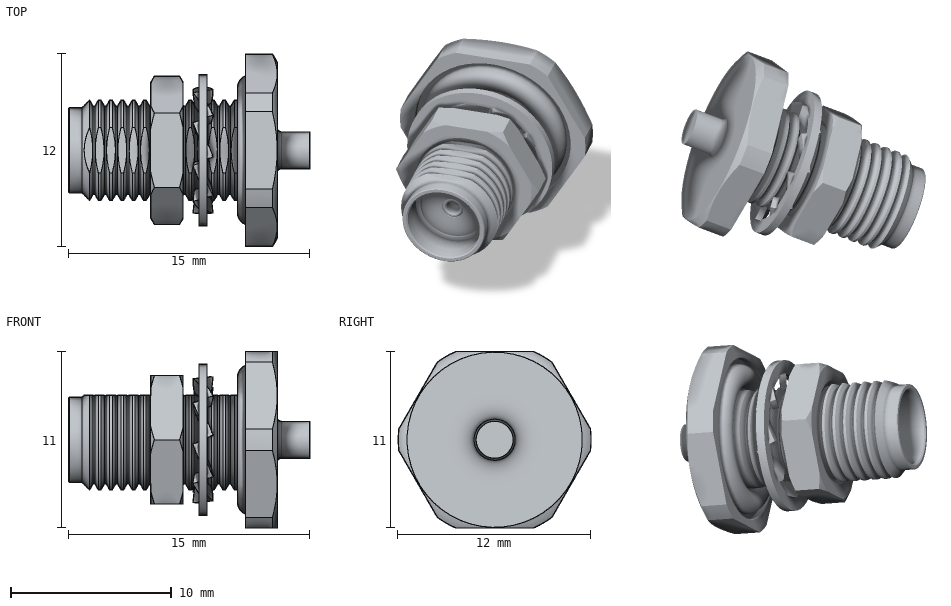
import cadquery as cq
import math


OVERALL_LENGTH = 15.0
OVERLAP = 1.0

SLEEVE_RADIUS = 2.66
SLEEVE_LENGTH = 0.85
SLEEVE_EDGE_BEVEL = 0.05
THREAD_CREST_RADIUS = 3.12
THREAD_ROOT_RADIUS = 2.74
THREAD_PITCH = 0.704
THREAD_CREST_WIDTH = 0.16
THREAD_HALF_ANGLE = 30.0
THREAD_GROOVES = 13
KEY_FLAT_HEIGHT = 2.78

BORE_RADIUS = 2.33
BORE_MOUTH_BEVEL = 0.08
BORE_DEPTH = 1.9
INSULATOR_RADIUS = 2.03
INSULATOR_RECESS = 0.15
CONTACT_RADIUS = 0.67
CONTACT_BEVEL = 0.08
CONTACT_HOLE_MOUTH_RADIUS = 0.5
CONTACT_HOLE_RADIUS = 0.41
CONTACT_HOLE_DEPTH = 1.0

NUT_START_X = 5.11
NUT_THICKNESS = 2.02
NUT_WIDTH = 8.0
NUT_CORNER_BEVEL = 0.23
NUT_MOUTH_RADIUS = 3.24
NUT_MOUTH_ANGLE = 30.0
NUT_BORE_RADIUS = 2.7

FLANGE_START_X = 11.0
FLANGE_THICKNESS = 2.0
FLANGE_WIDTH = 11.0
FLANGE_CORNER_RADIUS = 6.0
FLANGE_CORNER_BEVEL = 0.32
FLANGE_END_X = FLANGE_START_X + FLANGE_THICKNESS
CORNER_BEVEL_ANGLE = 30.0

SEAL_MEAN_RADIUS = 3.88
SEAL_SECTION_RADIUS = 0.8
SEAL_START_X = 10.5
SEAL_GROOVE_RADIUS = 5.03
SEAL_GROOVE_BEVEL = 0.04
SEAL_GROOVE_DEPTH = 0.4

WASHER_RADIUS = 4.7
WASHER_INNER_RADIUS = 3.8
WASHER_THICKNESS = 0.52
WASHER_MIDDLE_X = 8.36
TOOTH_COUNT = 9
TOOTH_OUTER_RADIUS = 3.92
TOOTH_INNER_RADIUS = 3.0
TOOTH_OUTER_WIDTH = 2.58
TOOTH_THICKNESS = 0.4
TOOTH_TWIST = 21.0

FERRULE_RADIUS = 1.15
FERRULE_FOOT_RADIUS = 1.28
FERRULE_FOOT_LENGTH = 0.235


def revolve_about_x(profile):
    """Full turn about X of a closed profile drawn as (x, radius)."""
    return profile.close().revolve(360, (0, 0, 0), (1, 0, 0))


def turned(points):
    """Turned solid with a straight-sided (x, radius) profile."""
    return revolve_about_x(cq.Workplane("XY").polyline(points))


def cylinder(radius, start_x, end_x):
    return cq.Workplane("YZ", origin=(start_x, 0, 0)).circle(radius).extrude(end_x - start_x)


def hex_prism(width, start_x, length):
    """Hexagon with flats on +-Z and corners on +-Y."""
    across_corners = width / math.cos(math.pi / 6)
    return cq.Workplane("YZ", origin=(start_x, 0, 0)).polygon(6, across_corners).extrude(length)


def thread_points(start_x):
    """Profile points of the thread grooves; the first groove opens at start_x."""
    flank = (THREAD_CREST_RADIUS - THREAD_ROOT_RADIUS) * math.tan(math.radians(THREAD_HALF_ANGLE))
    opening = THREAD_PITCH - THREAD_CREST_WIDTH
    points = []
    for i in range(THREAD_GROOVES):
        x = start_x + i * THREAD_PITCH
        points += [
            (x, THREAD_CREST_RADIUS),
            (x + flank, THREAD_ROOT_RADIUS),
            (x + opening - flank, THREAD_ROOT_RADIUS),
            (x + opening, THREAD_CREST_RADIUS),
        ]
    return points


def make_barrel():
    """Sleeve, 45 degree lead-in and thread, with one flat along the +Z side."""
    lead_in_length = THREAD_CREST_RADIUS - SLEEVE_RADIUS
    barrel = turned([
        (0, 0),
        (0, SLEEVE_RADIUS - SLEEVE_EDGE_BEVEL),
        (SLEEVE_EDGE_BEVEL, SLEEVE_RADIUS),
        (SLEEVE_LENGTH, SLEEVE_RADIUS),
        *thread_points(SLEEVE_LENGTH + lead_in_length),
        (FLANGE_END_X, THREAD_CREST_RADIUS),
        (FLANGE_END_X, 0),
    ])
    flat_cutter = (
        cq.Workplane("XY", origin=(0, 0, KEY_FLAT_HEIGHT))
        .rect(2 * FLANGE_START_X, 2 * THREAD_CREST_RADIUS)
        .extrude(OVERLAP)
    )
    return barrel.cut(flat_cutter)


def make_socket_cutter():
    insulator_x = BORE_DEPTH + INSULATOR_RECESS
    bore = turned([
        (0, 0),
        (0, BORE_RADIUS + BORE_MOUTH_BEVEL),
        (BORE_MOUTH_BEVEL, BORE_RADIUS),
        (BORE_DEPTH, BORE_RADIUS),
        (BORE_DEPTH, INSULATOR_RADIUS),
        (insulator_x, INSULATOR_RADIUS),
        (insulator_x, 0),
    ])
    hole_bevel = CONTACT_HOLE_MOUTH_RADIUS - CONTACT_HOLE_RADIUS
    contact_hole = turned([
        (insulator_x, 0),
        (insulator_x, CONTACT_HOLE_MOUTH_RADIUS),
        (insulator_x + hole_bevel, CONTACT_HOLE_RADIUS),
        (insulator_x + CONTACT_HOLE_DEPTH, CONTACT_HOLE_RADIUS),
        (insulator_x + CONTACT_HOLE_DEPTH, 0),
    ])
    contact_edge = turned([
        (insulator_x, CONTACT_RADIUS - CONTACT_BEVEL),
        (insulator_x, CONTACT_RADIUS),
        (insulator_x + CONTACT_BEVEL, CONTACT_RADIUS),
    ])
    return bore.union(contact_hole).union(contact_edge)


def make_nut():
    corner_radius = NUT_WIDTH / 2 / math.cos(math.pi / 6)
    end_radius = corner_radius - NUT_CORNER_BEVEL / math.tan(math.radians(CORNER_BEVEL_ANGLE))
    end_x = NUT_START_X + NUT_THICKNESS
    envelope = turned([
        (NUT_START_X, 0),
        (NUT_START_X, end_radius),
        (NUT_START_X + NUT_CORNER_BEVEL, corner_radius),
        (end_x - NUT_CORNER_BEVEL, corner_radius),
        (end_x, end_radius),
        (end_x, 0),
    ])
    nut = hex_prism(NUT_WIDTH, NUT_START_X, NUT_THICKNESS).intersect(envelope)

    bevel_length = (NUT_MOUTH_RADIUS - NUT_BORE_RADIUS) * math.tan(math.radians(NUT_MOUTH_ANGLE))
    for face_x, inward in ((NUT_START_X, 1), (end_x, -1)):
        mouth = turned([
            (face_x, NUT_BORE_RADIUS),
            (face_x, NUT_MOUTH_RADIUS),
            (face_x + inward * bevel_length, NUT_BORE_RADIUS),
        ])
        nut = nut.cut(mouth)
    return nut


def make_flange():
    bevel_drop = FLANGE_CORNER_BEVEL / math.tan(math.radians(CORNER_BEVEL_ANGLE))
    envelope = turned([
        (FLANGE_START_X, 0),
        (FLANGE_START_X, FLANGE_CORNER_RADIUS),
        (FLANGE_END_X - FLANGE_CORNER_BEVEL, FLANGE_CORNER_RADIUS),
        (FLANGE_END_X, FLANGE_CORNER_RADIUS - bevel_drop),
        (FLANGE_END_X, 0),
    ])
    groove = turned([
        (FLANGE_START_X, 0),
        (FLANGE_START_X, SEAL_GROOVE_RADIUS + SEAL_GROOVE_BEVEL),
        (FLANGE_START_X + SEAL_GROOVE_BEVEL, SEAL_GROOVE_RADIUS),
        (FLANGE_START_X + SEAL_GROOVE_DEPTH, SEAL_GROOVE_RADIUS),
        (FLANGE_START_X + SEAL_GROOVE_DEPTH, 0),
    ])
    return hex_prism(FLANGE_WIDTH, FLANGE_START_X, FLANGE_THICKNESS).intersect(envelope).cut(groove)


def make_seal():
    """Round-section ring, gripping the barrel and bedded in the groove floor."""
    middle_x = SEAL_START_X + SEAL_SECTION_RADIUS
    section = cq.Workplane("XY").center(middle_x, SEAL_MEAN_RADIUS).circle(SEAL_SECTION_RADIUS)
    return section.revolve(360, (0, -SEAL_MEAN_RADIUS, 0), (1, -SEAL_MEAN_RADIUS, 0))


def make_washer():
    start_x = WASHER_MIDDLE_X - WASHER_THICKNESS / 2
    end_x = WASHER_MIDDLE_X + WASHER_THICKNESS / 2
    washer = cylinder(WASHER_RADIUS, start_x, end_x).cut(cylinder(WASHER_INNER_RADIUS, start_x, end_x))

    half_width_per_radius = TOOTH_OUTER_WIDTH / 2 / TOOTH_OUTER_RADIUS
    half_width = half_width_per_radius * WASHER_RADIUS
    blank = (
        cq.Workplane("YZ", origin=(-TOOTH_THICKNESS / 2, 0, 0))
        .polyline([(0, 0), (WASHER_RADIUS, -half_width), (WASHER_RADIUS, half_width)])
        .close()
        .extrude(TOOTH_THICKNESS)
        .rotate((0, 0, 0), (0, 1, 0), TOOTH_TWIST)
        .translate((WASHER_MIDDLE_X, 0, 0))
    )
    reach = (WASHER_MIDDLE_X - TOOTH_OUTER_WIDTH, WASHER_MIDDLE_X + TOOTH_OUTER_WIDTH)
    tooth_zone = cylinder(TOOTH_OUTER_RADIUS, *reach).cut(cylinder(TOOTH_INNER_RADIUS, *reach))
    tooth = blank.intersect(tooth_zone)
    for i in range(TOOTH_COUNT):
        washer = washer.union(tooth.rotate((0, 0, 0), (1, 0, 0), i * 360 / TOOTH_COUNT))
    return washer


def make_ferrule():
    """Cable tube with a concave foot that runs tangent into the tube."""
    flare = FERRULE_FOOT_RADIUS - FERRULE_RADIUS
    tube_start = (FLANGE_END_X + FERRULE_FOOT_LENGTH, FERRULE_RADIUS)
    profile = (
        cq.Workplane("XY")
        .moveTo(OVERALL_LENGTH, 0)
        .lineTo(OVERALL_LENGTH, FERRULE_RADIUS)
        .lineTo(*tube_start)
        .tangentArcPoint((-FERRULE_FOOT_LENGTH, flare))
        .lineTo(FLANGE_END_X, 0)
    )
    return revolve_about_x(profile)


connector = make_barrel().union(make_flange()).union(make_ferrule())
connector = connector.union(make_seal()).union(make_nut()).union(make_washer())
result = connector.cut(make_socket_cutter())